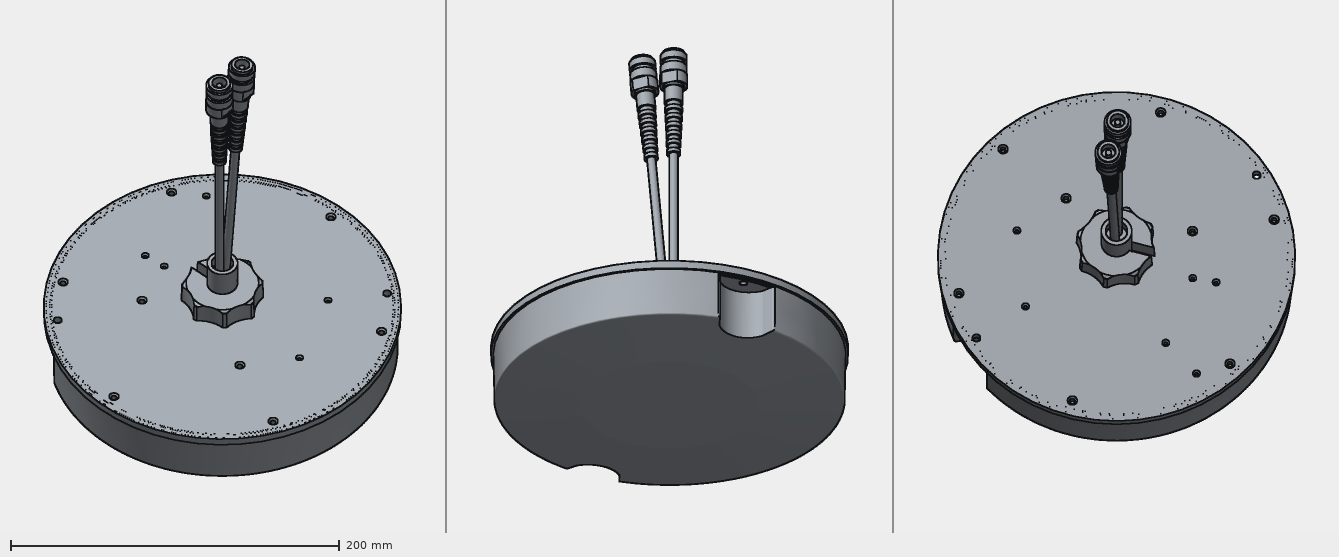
import cadquery as cq
import math

overall_height = 245.4
plate_radius = 109.0
plate_top = 40.0
plate_thickness = 5.2
plate_bottom = plate_top - plate_thickness
wall_top_radius = 107.5
wall_bottom_radius = 107.0
flat_radius = 54.0
cone_rise = 3.7
bottom_edge_fillet = 1.2

mounting_hole_x = 67.5
mounting_hole_y = 75.0
mounting_hole_radius = 2.5
notch_top = 34.4
notch_bottom_distance = 90.5
notch_floor_end_distance = 98.0
notch_floor_half_width = 14.7
notch_flank_end_distance = 104.0
notch_flank_half_width = 17.5
notch_lip_distance = 105.0
notch_lip_half_width = 18.2
notch_mouth_distance = 105.3
notch_mouth_half_width = 19.5
notch_outer_distance = plate_radius + 2.5

groove_cover = 0.7
tongue_inner_radius = 105.3
groove_inner_radius = 104.3

screw_circle_radius = 99.1
screw_count = 6
screw_hole_radius = 1.7
screw_sink_radius = 3.0
small_hole_radius = 1.0
small_sink_radius = 2.2
sink_angle = 90.0
large_hole_places = [(-40.0, -28.7), (40.0, -28.7)]
small_hole_places = [
    (-68.0, 61.3), (-44.5, 46.9), (44.5, 46.9), (-63.0, 0), (63.0, 0), (-48.5, 1.2),
]

stud_radius = 9.3
stud_top = 79.5
stud_foot_fillet = 1.2
stud_bore_radius = 6.6
stud_bore_floor = stud_top - 7.4

nut_bottom = 48.5
nut_height = 13.0
nut_lobes = 8
nut_tip_radius = 25.0
nut_waist_radius = 21.8
nut_tip_half_angle = 3.0
nut_draft = 2.0
nut_chamfer_radius = 22.0
nut_chamfer_height = 1.0
nut_chamfer_width = 2.2
nut_slot_width = 6.0

cable_radius = 2.7
straight_cable_y = -2.7
tilted_cable_y = 3.7
cable_tilt = 5.0
rib_count = 6
rib_pitch = 6.0
rib_height = 2.7
first_rib_depth = 38.5
first_rib_radius = 5.5
last_rib_radius = 4.2
boot_top_radius = 4.5
boot_bottom_radius = 3.2
connector_radius = 6.6
collar_radius = 8.0
flats_radius = 8.3
sleeve_radius = 5.6
front_collar_top_depth = 2.2
front_collar_bottom_depth = 6.9
rear_collar_top_depth = 9.8
flats_top_depth = 15.7
flats_bottom_depth = 23.5
sleeve_top_depth = 25.3
boot_top_depth = 35.0
socket_radius = 4.5
socket_depth = 7.4
contact_radius = 1.7
contact_length = 5.0


def both_sides(distance, half_width):
    """The two mirrored points at one distance along the notch."""
    return (distance, half_width), (distance, -half_width)


def notch():
    """Cutter for one notch, opening towards +X."""
    outer_left, outer_right = both_sides(notch_outer_distance, notch_mouth_half_width)
    mouth_left, mouth_right = both_sides(notch_mouth_distance, notch_mouth_half_width)
    lip_left, lip_right = both_sides(notch_lip_distance, notch_lip_half_width)
    flank_left, flank_right = both_sides(notch_flank_end_distance, notch_flank_half_width)
    floor_left, floor_right = both_sides(notch_floor_end_distance, notch_floor_half_width)
    return (
        cq.Workplane("XY")
        .moveTo(*outer_left)
        .lineTo(*mouth_left)
        .threePointArc(lip_left, flank_left)
        .lineTo(*floor_left)
        .threePointArc((notch_bottom_distance, 0), floor_right)
        .lineTo(*flank_right)
        .threePointArc(lip_right, mouth_right)
        .lineTo(*outer_right)
        .close()
        .extrude(notch_top)
    )


def mounting_holes():
    """Cutter for the two holes that pass through to the notches."""
    places = [(mounting_hole_x, mounting_hole_y), (-mounting_hole_x, -mounting_hole_y)]
    return cq.Workplane("XY").pushPoints(places).circle(mounting_hole_radius).extrude(plate_top)


def tongue_ring(inner_radius):
    """Ring on top of the radome's wall, reaching up into the plate."""
    return (
        cq.Workplane("XY", origin=(0, 0, plate_bottom))
        .circle(wall_top_radius)
        .circle(inner_radius)
        .extrude(plate_thickness - groove_cover)
    )


def build_radome():
    wall_foot = cq.selectors.BoxSelector(
        (-plate_radius, -plate_radius, cone_rise - 0.2),
        (plate_radius, plate_radius, cone_rise + 0.2),
        boundingbox=True,
    )
    body = (
        cq.Workplane("XZ")
        .lineTo(flat_radius, 0)
        .lineTo(wall_bottom_radius, cone_rise)
        .lineTo(wall_top_radius, plate_bottom)
        .lineTo(0, plate_bottom)
        .close()
        .revolve(360, (0, 0), (0, 1))
        .edges(wall_foot)
        .fillet(bottom_edge_fillet)
    )
    body = body.union(tongue_ring(tongue_inner_radius)).cut(mounting_holes())
    notch_direction = math.degrees(math.atan2(mounting_hole_y, mounting_hole_x))
    for half_turn in (0, 180):
        body = body.cut(notch().rotate((0, 0, 0), (0, 0, 1), notch_direction + half_turn))
    return body


def screw_circle_places():
    angles = [math.radians(90 + 360 * i / screw_count) for i in range(screw_count)]
    return [(screw_circle_radius * math.cos(a), screw_circle_radius * math.sin(a)) for a in angles]


def build_plate():
    plate = (
        cq.Workplane("XY", origin=(0, 0, plate_bottom))
        .circle(plate_radius)
        .extrude(plate_thickness)
        .cut(tongue_ring(groove_inner_radius))
    )
    for places, hole_radius, sink_radius in (
        (screw_circle_places() + large_hole_places, screw_hole_radius, screw_sink_radius),
        (small_hole_places, small_hole_radius, small_sink_radius),
    ):
        plate = (
            plate.copyWorkplane(cq.Workplane("XY", origin=(0, 0, plate_top)))
            .pushPoints(places)
            .cskHole(2 * hole_radius, 2 * sink_radius, sink_angle, plate_thickness)
        )
    return plate.cut(mounting_holes())


def build_stud():
    """Stud with a hollow-rounded foot and a blind bore for the cables."""
    foot_arc_inset = stud_foot_fillet * (1 - math.sqrt(0.5))
    return (
        cq.Workplane("XZ")
        .moveTo(0, plate_top)
        .lineTo(stud_radius + stud_foot_fillet, plate_top)
        .threePointArc(
            (stud_radius + foot_arc_inset, plate_top + foot_arc_inset),
            (stud_radius, plate_top + stud_foot_fillet),
        )
        .lineTo(stud_radius, stud_top)
        .lineTo(stud_bore_radius, stud_top)
        .lineTo(stud_bore_radius, stud_bore_floor)
        .lineTo(0, stud_bore_floor)
        .close()
        .revolve(360, (0, 0), (0, 1))
    )


def polar(radius, degrees):
    angle = math.radians(degrees)
    return (radius * math.cos(angle), radius * math.sin(angle))


def build_nut():
    pitch = 360 / nut_lobes
    outline = cq.Workplane("XY", origin=(0, 0, nut_bottom)).moveTo(
        *polar(nut_tip_radius, -nut_tip_half_angle)
    )
    for i in range(nut_lobes):
        lobe = i * pitch
        outline = outline.threePointArc(
            polar(nut_tip_radius, lobe), polar(nut_tip_radius, lobe + nut_tip_half_angle)
        ).threePointArc(
            polar(nut_waist_radius, lobe + pitch / 2),
            polar(nut_tip_radius, lobe + pitch - nut_tip_half_angle),
        )
    nut = outline.close().extrude(nut_height, taper=nut_draft)
    chamfer_bottom = nut_bottom + nut_height - nut_chamfer_height
    envelope = (
        cq.Workplane("XY", origin=(0, 0, nut_bottom))
        .circle(nut_tip_radius)
        .extrude(chamfer_bottom - nut_bottom)
        .union(
            cq.Workplane("XY", origin=(0, 0, chamfer_bottom))
            .circle(nut_chamfer_radius + nut_chamfer_width)
            .workplane(offset=nut_chamfer_height)
            .circle(nut_chamfer_radius)
            .loft(ruled=True)
        )
    )
    bore = cq.Workplane("XY", origin=(0, 0, nut_bottom)).circle(stud_radius).extrude(nut_height)
    slot = cq.Workplane("XY", origin=(-nut_tip_radius / 2, 0, nut_bottom)).box(
        nut_tip_radius, nut_slot_width, nut_height, centered=(True, True, False)
    )
    return nut.intersect(envelope).cut(bore).cut(slot)


def cylinder(radius, top_depth, bottom_depth):
    return (
        cq.Workplane("XY", origin=(0, 0, -bottom_depth))
        .circle(radius)
        .extrude(bottom_depth - top_depth)
    )


def build_cable(length):
    """Cable hanging down from its connector, whose end face lies at the origin."""
    boot_bottom_depth = first_rib_depth + (rib_count - 1) * rib_pitch + rib_height
    flats = cylinder(flats_radius, flats_top_depth, flats_bottom_depth).intersect(
        cq.Workplane("XY").box(2 * connector_radius, 2 * flats_radius, 2 * flats_bottom_depth)
    )
    boot = (
        cq.Workplane("XY", origin=(0, 0, -boot_bottom_depth))
        .circle(boot_bottom_radius)
        .workplane(offset=boot_bottom_depth - boot_top_depth)
        .circle(boot_top_radius)
        .loft()
    )
    cable = (
        cylinder(connector_radius, 0, flats_top_depth)
        .union(cylinder(collar_radius, front_collar_top_depth, front_collar_bottom_depth))
        .union(cylinder(collar_radius, rear_collar_top_depth, flats_top_depth))
        .union(flats)
        .union(cylinder(connector_radius, flats_bottom_depth, sleeve_top_depth))
        .union(cylinder(sleeve_radius, sleeve_top_depth, boot_top_depth))
        .union(boot)
        .union(cylinder(cable_radius, boot_bottom_depth, length))
    )
    for i in range(rib_count):
        rib_radius = first_rib_radius + (last_rib_radius - first_rib_radius) * i / (rib_count - 1)
        rib_top = first_rib_depth + i * rib_pitch
        cable = cable.union(cylinder(rib_radius, rib_top, rib_top + rib_height))
    cable = cable.cut(cylinder(socket_radius, 0, socket_depth))
    return cable.union(cylinder(contact_radius, socket_depth - contact_length, socket_depth))


def build_straight_cable():
    cable = build_cable(overall_height - stud_bore_floor)
    return cable.translate((0, straight_cable_y, overall_height))


def build_tilted_cable():
    """The same cable leaning towards +Y, trimmed flat on the floor of the stud's bore."""
    tilt = math.radians(cable_tilt)
    end_face_height = overall_height - connector_radius * math.sin(tilt)
    end_face_y = tilted_cable_y + (end_face_height - stud_top) * math.tan(tilt)
    cable = (
        build_cable((overall_height - stud_bore_floor) / math.cos(tilt))
        .rotate((0, 0, 0), (1, 0, 0), -cable_tilt)
        .translate((0, end_face_y, end_face_height))
    )
    below_floor = cq.Workplane("XY").box(
        plate_radius, plate_radius, stud_bore_floor, centered=(True, True, False)
    )
    return cable.cut(below_floor)


radome = build_radome()
plate = build_plate()
stud = build_stud()
nut = build_nut()
straight_cable = build_straight_cable()
tilted_cable = build_tilted_cable()

result = cq.Compound.makeCompound([
    radome.val(),
    plate.val(),
    stud.val(),
    nut.val(),
    straight_cable.val(),
    tilted_cable.val(),
])